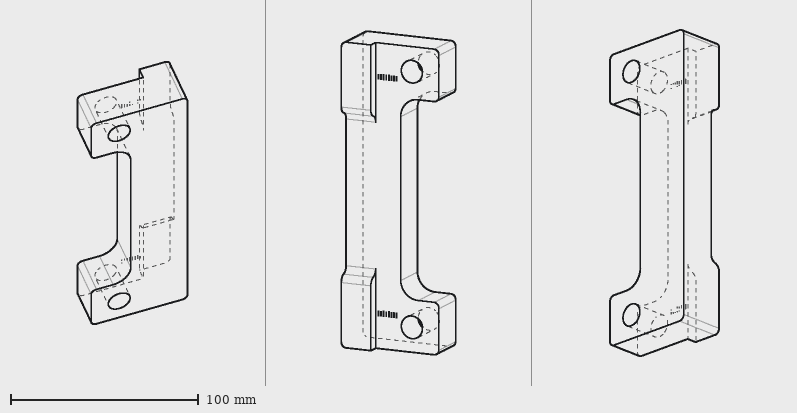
import cadquery as cq

total_x = 27.2
width_y = 54.8
height_z = 168.0

pad_rise = 6.0
web_width = 32.3
lug_height = 28.9
notch_depth = width_y - web_width
notch_height = height_z - 2 * lug_height
corner_radius = 3.0
notch_radius = 10.0

hole_diameter = 12.5
hole_from_front = 16.0
hole_from_end = 13.8

pad_width = 17.5
pad_flat_length = 35.8
pad_ramp_length = 7.9

tick_count = 8
tick_pitch = 1.5
tick_width = 0.2
tick_depth = 0.2
tick_height = 2.4
long_tick_height = 2.7
long_tick_indices = (2, 4)
first_tick_from_pad = 1.7
tick_base_heights = (64.2, -65.9)

front_y = -width_y / 2
back_y = width_y / 2
outer_x = -total_x / 2
plate_face_x = outer_x + pad_rise
end_z = height_z / 2


def box_between(x_range, y_range, z_range):
    """Box spanning the given (low, high) range on each axis."""
    lows, highs = zip(x_range, y_range, z_range)
    sizes = [high - low for low, high in zip(lows, highs)]
    return cq.Workplane("XY").box(*sizes, centered=False).translate(lows)


def make_plate():
    """C-shaped plate with a notch open to -Y, rounded inside at the web."""
    x_range = (plate_face_x, total_x / 2)
    plate = box_between(x_range, (front_y, back_y), (-end_z, end_z))
    notch = box_between(
        x_range,
        (front_y, front_y + notch_depth),
        (-notch_height / 2, notch_height / 2),
    )
    notch = notch.edges("|X and >Y").fillet(notch_radius)
    plate = plate.cut(notch)
    return plate.edges("|X and <Y").fillet(corner_radius)


def make_top_pad():
    """Raised pad whose lower end blends into the plate with an S of two arcs."""
    flat_end_z = end_z - pad_flat_length
    ramp_end_z = flat_end_z - pad_ramp_length
    ramp_middle = (
        outer_x + pad_rise / 2,
        flat_end_z - pad_ramp_length / 2,
    )
    return (
        cq.Workplane("XZ", origin=(0, back_y, 0))
        .moveTo(total_x / 2, end_z)
        .lineTo(outer_x, end_z)
        .lineTo(outer_x, flat_end_z)
        .tangentArcPoint(ramp_middle, relative=False)
        .tangentArcPoint((plate_face_x, ramp_end_z), relative=False)
        .lineTo(total_x / 2, ramp_end_z)
        .close()
        .extrude(pad_width)
    )


def make_holes():
    """Cylinders along X, one for each lug."""
    hole_y = front_y + hole_from_front
    hole_z = end_z - hole_from_end
    return (
        cq.Workplane("YZ", origin=(outer_x, 0, 0))
        .pushPoints([(hole_y, hole_z), (hole_y, -hole_z)])
        .circle(hole_diameter / 2)
        .extrude(total_x)
    )


def make_tick_row(base_z):
    """Thin cutters standing on base_z, spaced from the pad towards the hole."""
    row = cq.Workplane("XY")
    first_y = back_y - pad_width - first_tick_from_pad
    for index in range(tick_count):
        tick_y = first_y - index * tick_pitch
        height = long_tick_height if index in long_tick_indices else tick_height
        tick = box_between(
            (plate_face_x, plate_face_x + tick_depth),
            (tick_y - tick_width / 2, tick_y + tick_width / 2),
            (base_z, base_z + height),
        )
        row = row.add(tick)
    return row.combine()


top_pad = make_top_pad()
bottom_pad = top_pad.mirror("XY")

body = make_plate().union(top_pad).union(bottom_pad)
body = body.edges("|X and >Y").fillet(corner_radius)
body = body.cut(make_holes())

for base_height in tick_base_heights:
    body = body.cut(make_tick_row(base_height))

result = body